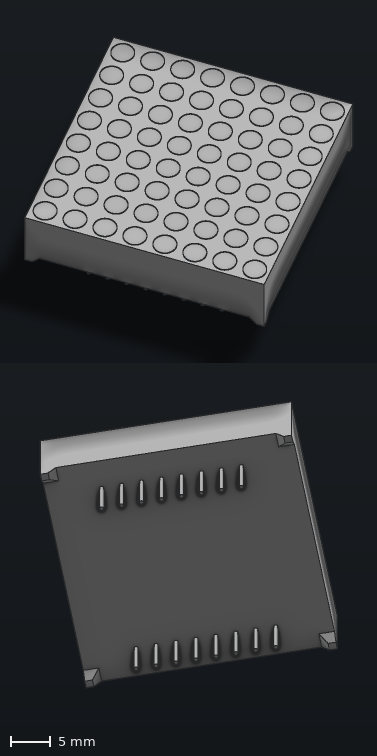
import cadquery as cq

body_side = 32.0
total_height = 11.9
body_height = 8.0
foot_height = 1.0
foot_tip_width = 1.0
foot_root_width = foot_tip_width + foot_height
underside_z = foot_height - body_height

window_count = 8
window_pitch = body_side / window_count
window_diameter = 3.0
window_depth = 0.1

pin_diameter = 0.51
pin_row_count = 2
pins_per_row = 8
pin_pitch = 2.54
pin_row_spacing = 24.0
pin_embed = 1.0


def underside_channel(plane):
    """Full-length channel under the block with 45 degree side walls."""
    half_root = body_side / 2 - foot_root_width
    half_tip = body_side / 2 - foot_tip_width
    return (
        cq.Workplane(plane)
        .polyline([
            (-half_tip, -body_height),
            (half_tip, -body_height),
            (half_root, underside_z),
            (-half_root, underside_z),
        ])
        .close()
        .extrude(body_side / 2, both=True)
    )


def make_housing():
    """Block whose two crossing channels leave a tapered foot at each corner."""
    block = cq.Workplane("XY").rect(body_side, body_side).extrude(-body_height)
    return block.cut(underside_channel("XZ")).cut(underside_channel("YZ"))


def make_windows():
    """Discs to sink into the top face, one for each LED."""
    return (
        cq.Workplane("XY")
        .rarray(window_pitch, window_pitch, window_count, window_count)
        .circle(window_diameter / 2)
        .extrude(-window_depth)
    )


def make_pins():
    """Two rows of round pins reaching from inside the housing to the lowest point."""
    return (
        cq.Workplane("XY")
        .workplane(offset=-total_height)
        .rarray(pin_pitch, pin_row_spacing, pins_per_row, pin_row_count)
        .circle(pin_diameter / 2)
        .extrude(total_height + underside_z + pin_embed)
    )


result = make_housing().cut(make_windows()).union(make_pins())